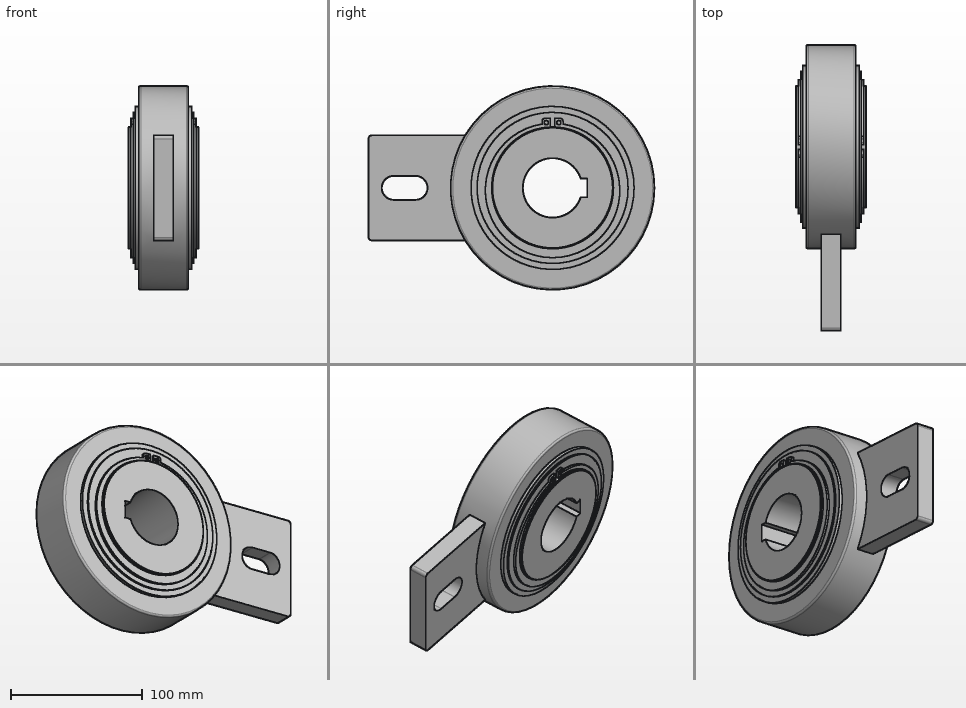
import cadquery as cq

body_diameter = 155.0
body_radius = body_diameter / 2
body_width = 37.8
body_fillet = 1.5

cover_radius = 62.0
cover_width = 43.0
disc_radius = 57.5
disc_width = 45.7

hub_radius = 46.3
hub_width = 54.0
hub_chamfer = 0.7
bore_diameter = 45.0
bore_radius = bore_diameter / 2
keyway_width = 14.0
keyway_depth = 26.3

ring_radius = 51.1
ring_drop = 2.0
ring_width = 49.5
ring_gap = 3.5
lug_span = 15.9
lug_top = 52.9
lug_fillet = 2.2
lug_hole_radius = 1.63
lug_hole_offset = 4.8
lug_hole_height = 49.5

overall_length = 217.5
arm_end = overall_length - body_radius
arm_height = 80.0
arm_thickness = 15.0
arm_fillet = 2.6
arm_root = (bore_radius + body_radius) / 2
slot_length = 34.5
slot_width = 18.0
slot_centre = 112.5


def disc(radius, width, z=0):
    """Cylinder along X, symmetric about the YZ plane."""
    return cq.Workplane("YZ", origin=(-width / 2, 0, z)).circle(radius).extrude(width)


def make_body():
    body = disc(body_radius, body_width).edges().fillet(body_fillet)
    return body.union(disc(cover_radius, cover_width)).union(disc(disc_radius, disc_width))


def make_arm():
    arm_length = arm_end - arm_root
    arm = (
        cq.Workplane("XY")
        .box(arm_thickness, arm_length, arm_height)
        .translate((0, -arm_root - arm_length / 2, 0))
        .edges("|X and <Y")
        .fillet(arm_fillet)
    )
    slot = (
        cq.Workplane("YZ")
        .center(-slot_centre, 0)
        .slot2D(slot_length, slot_width)
        .extrude(arm_thickness, both=True)
    )
    return arm.cut(slot)


def make_rings():
    """Both retaining rings as one solid passing through the body."""
    lugs = (
        cq.Workplane("YZ")
        .center(0, lug_top / 2)
        .rect(lug_span, lug_top)
        .extrude(ring_width / 2, both=True)
        .edges("|X and >Z")
        .fillet(lug_fillet)
    )
    gap = (
        cq.Workplane("YZ")
        .center(0, lug_top)
        .rect(ring_gap, lug_top)
        .extrude(ring_width / 2, both=True)
    )
    holes = (
        cq.Workplane("YZ")
        .pushPoints([(side * lug_hole_offset, lug_hole_height) for side in (-1, 1)])
        .circle(lug_hole_radius)
        .extrude(ring_width / 2, both=True)
    )
    return disc(ring_radius, ring_width, -ring_drop).union(lugs).cut(gap).cut(holes)


def make_bore():
    keyway = (
        cq.Workplane("YZ")
        .center(keyway_depth / 2, 0)
        .rect(keyway_depth, keyway_width)
        .extrude(hub_width / 2, both=True)
    )
    return disc(bore_radius, hub_width).union(keyway)


hub = disc(hub_radius, hub_width).edges().chamfer(hub_chamfer)
result = make_body().union(make_arm()).union(make_rings()).union(hub).cut(make_bore())